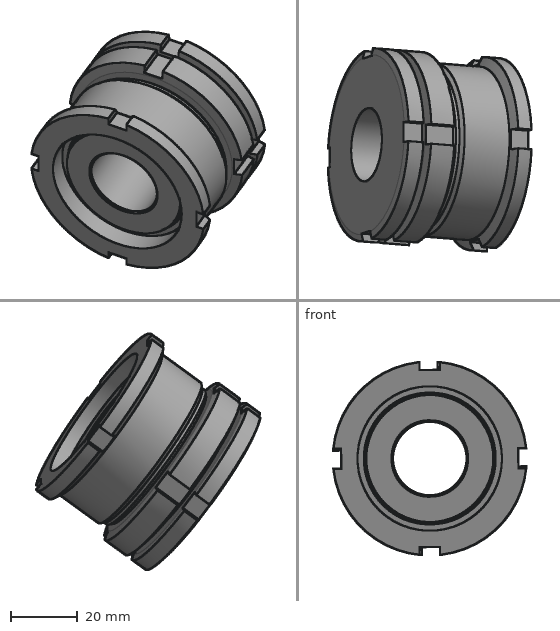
import cadquery as cq
import math


total_length = 41.05
rim_radius = 58.0 / 2
slot_width = 6.0
slot_floor_radius = 26.5
slot_count = 4
slot_overshoot = 0.6

housing_length = 24.05
flange_length = 6.0
flange_taper_length = 1.6
barrel_radius = 52.05 / 2
shoulder_y = 20.75
spigot_radius = 49.7 / 2
spigot_chamfer = 1.0
recess_radius = 43.2 / 2
recess_depth = 6.0
housing_bore_radius = 38.3 / 2
housing_bore_chamfer = 0.6

nut_gap = 0.6
nut_length = 9.2
nut_bevel_width = 3.0
nut_turn = 1.45

head_length = 6.0
head_bevel_width = 2.0
stem_radius = 38.0 / 2
collar_radius = 40.0 / 2
stem_front_y = 4.0
screw_bore_radius = 22.0 / 2
screw_bore_chamfer = 0.45
head_turn = 1.0

bevel_angle = math.radians(15)

nut_front_y = housing_length + nut_gap
nut_back_y = nut_front_y + nut_length
head_front_y = total_length - head_length


def ring(profile):
    """Revolve a closed (radius, y) outline around the Y axis."""
    return cq.Workplane("XY").polyline(profile).close().revolve(360, (0, 0, 0), (0, 1, 0))


def bevelled_rim(front_y, back_y, bevel_width):
    """Outer (radius, y) points of a rim with a shallow bevel on both ends, from front to back."""
    bevel_length = bevel_width * math.tan(bevel_angle)
    face_radius = rim_radius - bevel_width
    return [
        (face_radius, front_y),
        (rim_radius, front_y + bevel_length),
        (rim_radius, back_y - bevel_length),
        (face_radius, back_y),
    ]


def cut_spanner_slots(body, front_y, back_y, turn=0):
    """Cut evenly spaced slots across a rim, turned anticlockwise as seen from the -Y end."""
    slot_height = rim_radius - slot_floor_radius + slot_overshoot
    slot = cq.Workplane("XY").box(
        slot_width, back_y - front_y, slot_height, centered=(True, False, False)
    ).translate((0, front_y, slot_floor_radius))
    for index in range(slot_count):
        angle = index * 360 / slot_count - turn
        body = body.cut(slot.rotate((0, 0, 0), (0, 1, 0), angle))
    return body


def make_housing():
    """Flanged sleeve with a stepped spigot, a front recess and a through bore."""
    body = ring([
        (recess_radius, 0),
        (rim_radius, 0),
        (rim_radius, flange_length - flange_taper_length),
        (barrel_radius, flange_length),
        (barrel_radius, shoulder_y),
        (spigot_radius, shoulder_y + barrel_radius - spigot_radius),
        (spigot_radius, housing_length - spigot_chamfer),
        (spigot_radius - spigot_chamfer, housing_length),
        (housing_bore_radius, housing_length),
        (housing_bore_radius, recess_depth + housing_bore_chamfer),
        (housing_bore_radius + housing_bore_chamfer, recess_depth),
        (recess_radius, recess_depth),
    ])
    return cut_spanner_slots(body, 0, flange_length)


def make_lock_nut():
    """Slotted ring seated on the screw's collar."""
    body = ring([
        (collar_radius, nut_front_y),
        *bevelled_rim(nut_front_y, nut_back_y, nut_bevel_width),
        (collar_radius, nut_back_y),
    ])
    return cut_spanner_slots(body, nut_front_y, nut_back_y, nut_turn)


def make_screw():
    """Hollow stem with a slotted head and a wider collar between the housing and the back of the nut."""
    body = ring([
        (screw_bore_radius + screw_bore_chamfer, stem_front_y),
        (stem_radius, stem_front_y),
        (stem_radius, housing_length),
        (collar_radius, housing_length),
        (collar_radius, nut_back_y),
        (stem_radius, nut_back_y),
        (stem_radius, head_front_y),
        *bevelled_rim(head_front_y, total_length, head_bevel_width),
        (screw_bore_radius, total_length),
        (screw_bore_radius, stem_front_y + screw_bore_chamfer),
    ])
    return cut_spanner_slots(body, head_front_y, total_length, head_turn)


housing = make_housing()
lock_nut = make_lock_nut()
screw = make_screw()

result = cq.Compound.makeCompound([housing.val(), lock_nut.val(), screw.val()])